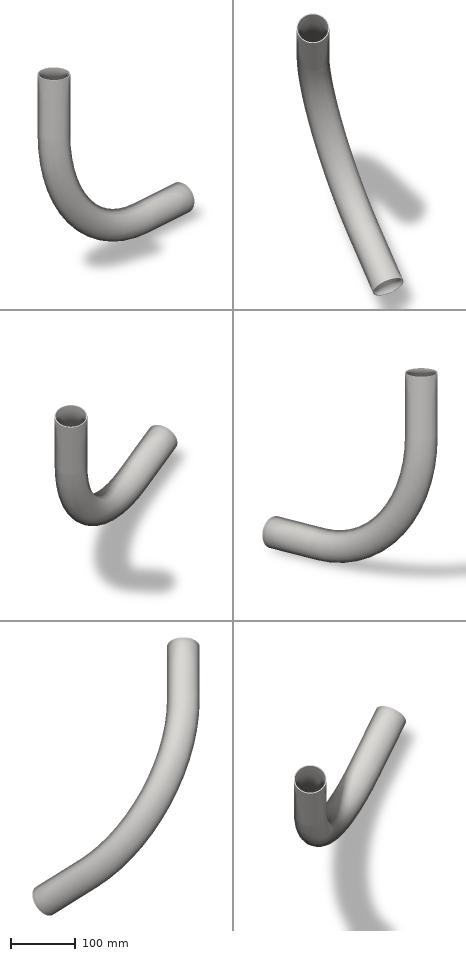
import cadquery as cq

overall_length = 343.0
outer_diameter = 50.7
inner_diameter = 47.5
leg_length = 101.5

outer_radius = outer_diameter / 2
bend_radius = overall_length - outer_radius - leg_length
bend_angle = 90


def tube_ring(plane):
    """Annular tube section centred on the given plane."""
    return cq.Workplane(plane).circle(outer_diameter / 2).circle(inner_diameter / 2)


upright_leg = tube_ring("XY").extrude(leg_length)

bend = tube_ring("XY").revolve(bend_angle, (0, bend_radius, 0), (1, bend_radius, 0))

level_leg_start = cq.Plane(
    origin=(0, bend_radius, -bend_radius), xDir=(1, 0, 0), normal=(0, 1, 0)
)
level_leg = tube_ring(level_leg_start).extrude(leg_length)

result = upright_leg.union(bend).union(level_leg)